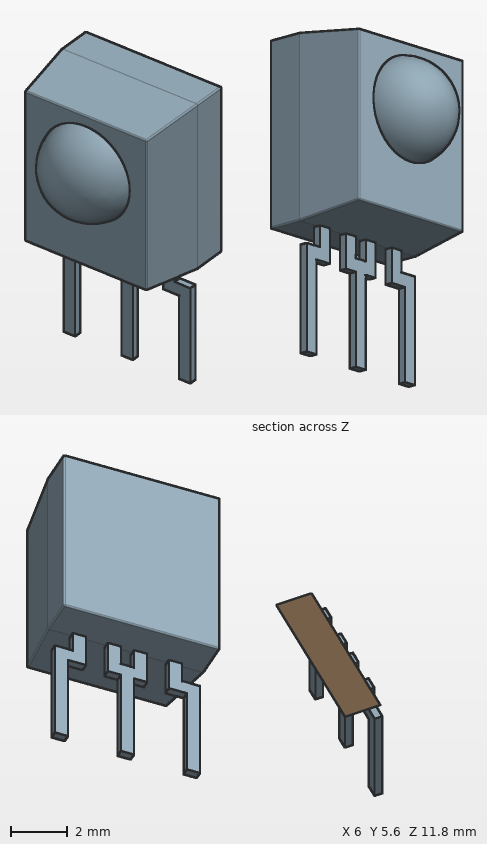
import cadquery as cq
import math

housing_width = 6.0
housing_height = 6.95
back_depth = 1.42
front_depth = 2.58
front_inset = 0.32
edge_radius = 0.06

lens_radius = 1.99
lens_projection = 1.6
lens_drop = 2.7

lead_width = 0.5
lead_thickness = 0.3
lead_pitch = 2.54
shank_offset = 1.85
lead_length = 4.8
step_top = 0.8
step_bottom = step_top + lead_width
fork_offset = lead_width


def make_housing():
    """Block with straight back, tapered front and rounded edges."""
    taper = math.degrees(math.atan(front_inset / front_depth))
    parting = cq.Workplane("XZ").center(0, housing_height / 2)
    back = parting.rect(housing_width, housing_height).extrude(-back_depth)
    front = parting.rect(housing_width, housing_height).extrude(front_depth, taper=taper)
    block = back.union(front)
    face_edges = block.faces("<Y or >Y").edges()
    corner_edges = block.edges("not #Y").edges("not(|X or |Z)")
    return block.newObject(face_edges.vals() + corner_edges.vals()).fillet(edge_radius)


def make_lens():
    """Half-ball lens facing -Y, sunk into the front face so that only its dome projects."""
    arc_middle = lens_radius * math.sqrt(0.5)
    half_ball = (
        cq.Workplane("XY")
        .moveTo(0, -lens_radius)
        .threePointArc((arc_middle, -arc_middle), (lens_radius, 0))
        .lineTo(0, 0)
        .close()
        .revolve(360, (0, 0), (0, 1))
    )
    lens_y = lens_radius - front_depth - lens_projection
    return half_ball.translate((0, lens_y, housing_height - lens_drop))


def lead_bar(x_start, x_end, z_bottom, z_top):
    """Flat strip of lead metal, centred on the parting plane."""
    return cq.Workplane("XY").box(
        x_end - x_start, lead_thickness, z_top - z_bottom
    ).translate(((x_start + x_end) / 2, 0, (z_bottom + z_top) / 2))


def upright(x_axis, z_bottom, z_top):
    """Vertical strip one lead wide."""
    return lead_bar(x_axis - lead_width / 2, x_axis + lead_width / 2, z_bottom, z_top)


def make_outer_lead(side):
    """Cranked lead; side is -1 or 1 and picks the end of the housing."""
    inner_x = side * (shank_offset - lead_width / 2)
    outer_x = side * (lead_pitch + lead_width / 2)
    step = lead_bar(min(inner_x, outer_x), max(inner_x, outer_x), -step_bottom, -step_top)
    shank = upright(side * shank_offset, -step_bottom, 0)
    tail = upright(side * lead_pitch, -lead_length, -step_top)
    return shank.union(step).union(tail)


def make_middle_lead():
    """Forked lead with two prongs meeting the housing and one tail."""
    fork_edge = fork_offset + lead_width / 2
    bridge = lead_bar(-fork_edge, fork_edge, -step_bottom, -step_top)
    lead = bridge.union(upright(0, -lead_length, -step_top))
    for side in (-1, 1):
        lead = lead.union(upright(side * fork_offset, -step_bottom, 0))
    return lead


lens = make_lens()
housing = make_housing().union(make_middle_lead())
for side in (-1, 1):
    housing = housing.union(make_outer_lead(side))
housing = housing.cut(lens)

result = cq.Compound.makeCompound([housing.val(), lens.val()])